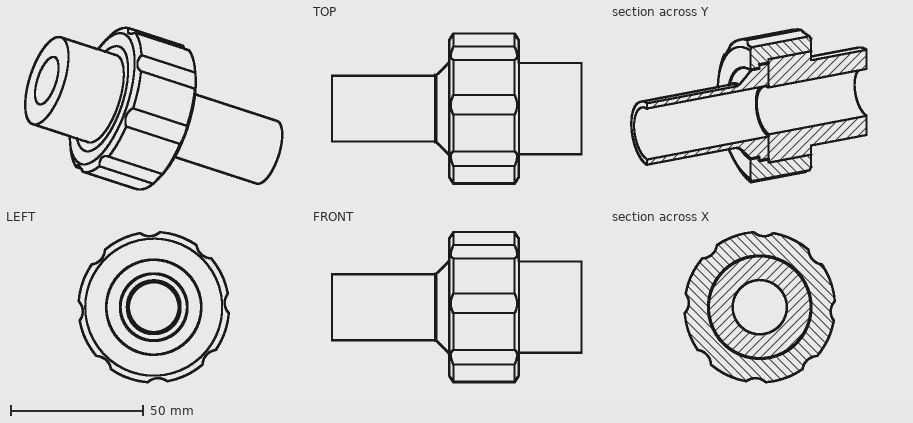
import cadquery as cq
import math


overall_length = 94.34
stop_ring_start = 39.0
flare_start = 39.6
nut_front = 44.3
nut_length = 26.3
nut_rear = nut_front + nut_length

tail_diameter = 25.0
tail_bore = 20.4
stop_ring_diameter = 25.65
shank_diameter = 35.7
flare_depth_in_nut = 0.2
flare_end = nut_front + flare_depth_in_nut
flare_sag = 0.1
flange_diameter = 38.6
flange_thickness = 4.0

connector_diameter = 34.6
connector_bore = 18.75
collar_diameter = 41.53

nut_diameter = 57.0
nut_face_diameter = 51.8
chamfer_length = 1.6
lip_thickness = 4.0
lip_bore = 36.1
flange_recess_diameter = 39.0

flute_count = 8
flute_radius = 5.7
flute_depth = 1.6
first_flute_angle = 2.87

flange_front = nut_front + lip_thickness
flange_rear = flange_front + flange_thickness


def cylinder(diameter, start, end):
    """Solid cylinder on the X axis between two X places."""
    return cq.Workplane("YZ").workplane(offset=start).circle(diameter / 2).extrude(end - start)


def make_tailpiece():
    """Plain pipe with a small stop ring, a hollow-curved flare and a flange held in the nut."""
    stop_radius = stop_ring_diameter / 2
    shank_radius = shank_diameter / 2
    flare_length = flare_end - flare_start
    flare_rise = shank_radius - stop_radius
    flare_chord = math.hypot(flare_length, flare_rise)
    flare_middle = (
        (flare_start + flare_end) / 2 + flare_sag * flare_rise / flare_chord,
        (stop_radius + shank_radius) / 2 - flare_sag * flare_length / flare_chord,
    )
    profile = (
        cq.Workplane("XY")
        .moveTo(0, tail_bore / 2)
        .lineTo(0, tail_diameter / 2)
        .lineTo(stop_ring_start, tail_diameter / 2)
        .lineTo(stop_ring_start, stop_radius)
        .lineTo(flare_start, stop_radius)
        .threePointArc(flare_middle, (flare_end, shank_radius))
        .lineTo(flange_front, shank_radius)
        .lineTo(flange_front, flange_diameter / 2)
        .lineTo(flange_rear, flange_diameter / 2)
        .lineTo(flange_rear, tail_bore / 2)
        .close()
    )
    return profile.revolve(360, (0, 0, 0), (1, 0, 0))


def make_connector():
    """Plain bored cylinder whose wider collar fills the nut behind the flange."""
    body = cylinder(connector_diameter, flange_rear, overall_length)
    collar = cylinder(collar_diameter, flange_rear, nut_rear)
    bore = cylinder(connector_bore, flange_rear, overall_length)
    return body.union(collar).cut(bore)


def make_nut_blank():
    """Nut outside with a cone chamfer at each end, before boring and fluting."""
    face_radius = nut_face_diameter / 2
    outer_radius = nut_diameter / 2
    profile = cq.Workplane("XY").polyline([
        (nut_front, 0),
        (nut_front, face_radius),
        (nut_front + chamfer_length, outer_radius),
        (nut_rear - chamfer_length, outer_radius),
        (nut_rear, face_radius),
        (nut_rear, 0),
    ]).close()
    return profile.revolve(360, (0, 0, 0), (1, 0, 0))


def make_nut():
    """Nut with a front lip, a flange recess, a collar bore and round flutes around the grip."""
    nut = make_nut_blank()
    nut = nut.cut(cylinder(lip_bore, nut_front, flange_front))
    nut = nut.cut(cylinder(flange_recess_diameter, flange_front, flange_rear))
    nut = nut.cut(cylinder(collar_diameter, flange_rear, nut_rear))

    flute_center_radius = nut_diameter / 2 - flute_depth + flute_radius
    flute = cylinder(2 * flute_radius, nut_front, nut_rear).translate((0, -flute_center_radius, 0))
    for index in range(flute_count):
        angle = first_flute_angle + index * 360 / flute_count
        nut = nut.cut(flute.rotate((0, 0, 0), (1, 0, 0), -angle))
    return nut


tailpiece = make_tailpiece()
connector = make_connector()
nut = make_nut()

result = cq.Compound.makeCompound([tailpiece.val(), nut.val(), connector.val()])